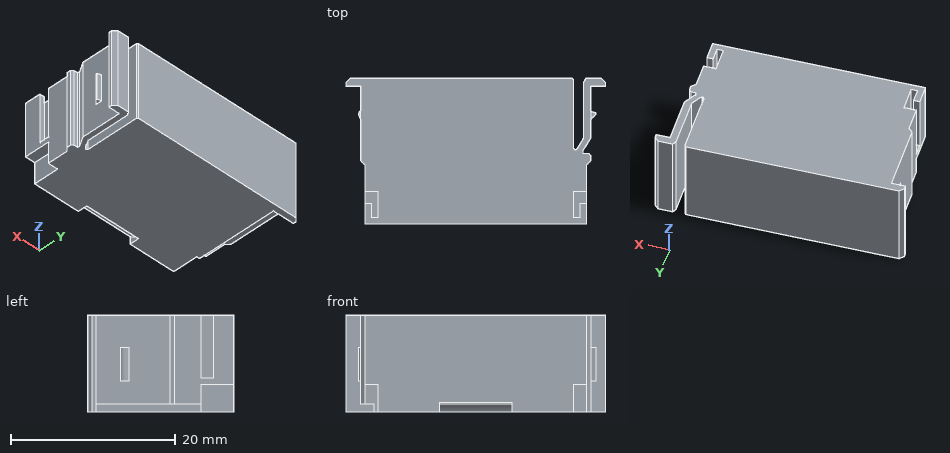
import cadquery as cq

LENGTH = 31.6
DEPTH = 17.8
HEIGHT = 11.8

BODY_HALF = 13.5
SHOULDER_HALF = 14.03
SHOULDER_TOP_Y = 7.75
FLANGE_THICKNESS = 1.0
FLANGE_CHAMFER = 0.55

ARM_THICKNESS = 0.92
ARM_BEND_Y = 10.5
ARM_SLANT_X = 0.95
ARM_SLANT_Y = 1.52
SLOT_INNER_X = 11.9
SLOT_BOTTOM_Y = 9.07
SLOT_FLOOR_WIDTH = 0.3
SLOT_CORNER = 0.2
STOP_TOP_Y = 8.62
STOP_CHAMFER = 0.3

CATCH_BASE_Z = 3.82
CATCH_HEIGHT = 4.08
CATCH_LOW_Y = 12.75
LATCH_CATCH_TOP_Y = 13.75
LATCH_CATCH_REACH = 0.6
LATCH_CATCH_TIP_Y = 13.35
LATCH_CATCH_TIP_HEIGHT = 0.2
FIXED_CATCH_REACH = 0.22
FIXED_CATCH_TIP_Y = 13.27
FIXED_CATCH_TOP_Y = 13.8
FIXED_CATCH_BULGE = 0.05

POCKET_INNER_X = 11.9
POCKET_REAR_Y = 3.98
LIP_THICKNESS = 0.8
LIP_END_Y = 2.5
TOP_POCKET_FLOOR_Z = 4.17
BASE_POCKET_HEIGHT = 3.35

STEP_INNER_X = 12.38
STEP_HEIGHT = 0.98

NOTCH_WIDTH = 8.85
NOTCH_HEIGHT = 1.17
NOTCH_DEPTH = 1.45
NOTCH_CHAMFER = 0.2
NOTCH_BULGE = 0.1


def block(x_min, x_max, y_min, y_max, z_min, z_max):
    size = (x_max - x_min, y_max - y_min, z_max - z_min)
    return cq.Workplane("XY").box(*size, centered=False).translate((x_min, y_min, z_min))


def make_body():
    half = LENGTH / 2
    flange_y = DEPTH - FLANGE_THICKNESS
    shoulder_low_y = SHOULDER_TOP_Y - (SHOULDER_HALF - BODY_HALF)
    arm_inner_x = SHOULDER_HALF - ARM_THICKNESS
    slot_end_x = SLOT_INNER_X + SLOT_FLOOR_WIDTH + SLOT_CORNER
    arm_root_x = SHOULDER_HALF - ARM_SLANT_X
    outline = [
        (-BODY_HALF, 0),
        (BODY_HALF, 0),
        (BODY_HALF, shoulder_low_y),
        (SHOULDER_HALF, SHOULDER_TOP_Y),
        (SHOULDER_HALF, STOP_TOP_Y - STOP_CHAMFER),
        (SHOULDER_HALF - STOP_CHAMFER, STOP_TOP_Y),
        (arm_root_x, STOP_TOP_Y),
        (arm_root_x, ARM_BEND_Y - ARM_SLANT_Y),
        (SHOULDER_HALF, ARM_BEND_Y),
        (SHOULDER_HALF, flange_y),
        (half, flange_y),
        (half, DEPTH - FLANGE_CHAMFER),
        (half - FLANGE_CHAMFER, DEPTH),
        (arm_inner_x + STOP_CHAMFER, DEPTH),
        (arm_inner_x, DEPTH - FLANGE_CHAMFER),
        (arm_inner_x, ARM_BEND_Y),
        (slot_end_x, SLOT_BOTTOM_Y + SLOT_CORNER),
        (slot_end_x - SLOT_CORNER, SLOT_BOTTOM_Y),
        (SLOT_INNER_X + SLOT_CORNER, SLOT_BOTTOM_Y),
        (SLOT_INNER_X, SLOT_BOTTOM_Y + SLOT_CORNER),
        (SLOT_INNER_X, DEPTH - SLOT_CORNER),
        (SLOT_INNER_X - SLOT_CORNER, DEPTH),
        (FLANGE_CHAMFER - half, DEPTH),
        (-half, DEPTH - FLANGE_CHAMFER),
        (-half, flange_y),
        (-SHOULDER_HALF, flange_y),
        (-SHOULDER_HALF, SHOULDER_TOP_Y),
        (-BODY_HALF, shoulder_low_y),
    ]
    return cq.Workplane("XY").polyline(outline).close().extrude(HEIGHT)


def make_latch_catch():
    tip_x = SHOULDER_HALF + LATCH_CATCH_REACH
    outline = [
        (SHOULDER_HALF, CATCH_LOW_Y),
        (tip_x, LATCH_CATCH_TIP_Y),
        (tip_x, LATCH_CATCH_TIP_Y + LATCH_CATCH_TIP_HEIGHT),
        (SHOULDER_HALF, LATCH_CATCH_TOP_Y),
    ]
    base = cq.Workplane("XY").workplane(offset=CATCH_BASE_Z)
    return base.polyline(outline).close().extrude(CATCH_HEIGHT)


def make_fixed_catch():
    """Small catch with a slanted lower face and a rounded upper face."""
    tip_x = -SHOULDER_HALF - FIXED_CATCH_REACH
    arc_middle = (
        -SHOULDER_HALF - FIXED_CATCH_REACH / 2 - FIXED_CATCH_BULGE,
        (FIXED_CATCH_TIP_Y + FIXED_CATCH_TOP_Y) / 2 + FIXED_CATCH_BULGE,
    )
    base = cq.Workplane("XY").workplane(offset=CATCH_BASE_Z)
    outline = (
        base.moveTo(-SHOULDER_HALF, CATCH_LOW_Y)
        .lineTo(tip_x, FIXED_CATCH_TIP_Y)
        .threePointArc(arc_middle, (-SHOULDER_HALF, FIXED_CATCH_TOP_Y))
        .close()
    )
    return outline.extrude(CATCH_HEIGHT)


def make_corner_pockets():
    """Both pockets of the +X front corner."""
    opening = block(POCKET_INNER_X, BODY_HALF, LIP_END_Y, POCKET_REAR_Y, TOP_POCKET_FLOOR_Z, HEIGHT)
    behind_lip = block(
        POCKET_INNER_X, BODY_HALF - LIP_THICKNESS, LIP_THICKNESS, POCKET_REAR_Y, TOP_POCKET_FLOOR_Z, HEIGHT
    )
    base_pocket = block(POCKET_INNER_X, BODY_HALF, 0, POCKET_REAR_Y, 0, BASE_POCKET_HEIGHT)
    return opening.union(behind_lip).union(base_pocket)


def make_end_step():
    return block(-SHOULDER_HALF, -STEP_INNER_X, 0, DEPTH - FLANGE_THICKNESS, 0, STEP_HEIGHT)


def make_front_notch():
    """Hollow curved roof rising from the base to a chamfered front edge."""
    arc_top_z = NOTCH_HEIGHT - NOTCH_CHAMFER
    arc_middle = (
        (NOTCH_DEPTH + NOTCH_CHAMFER) / 2 + NOTCH_BULGE,
        arc_top_z / 2 + NOTCH_BULGE,
    )
    profile = (
        cq.Workplane("YZ")
        .workplane(offset=-NOTCH_WIDTH / 2)
        .moveTo(0, 0)
        .lineTo(NOTCH_DEPTH, 0)
        .threePointArc(arc_middle, (NOTCH_CHAMFER, arc_top_z))
        .lineTo(0, NOTCH_HEIGHT)
        .close()
    )
    return profile.extrude(NOTCH_WIDTH)


corner_pockets = make_corner_pockets()
result = make_body().union(make_latch_catch()).union(make_fixed_catch())
result = result.cut(corner_pockets).cut(corner_pockets.mirror("YZ"))
result = result.cut(make_end_step()).cut(make_front_notch())